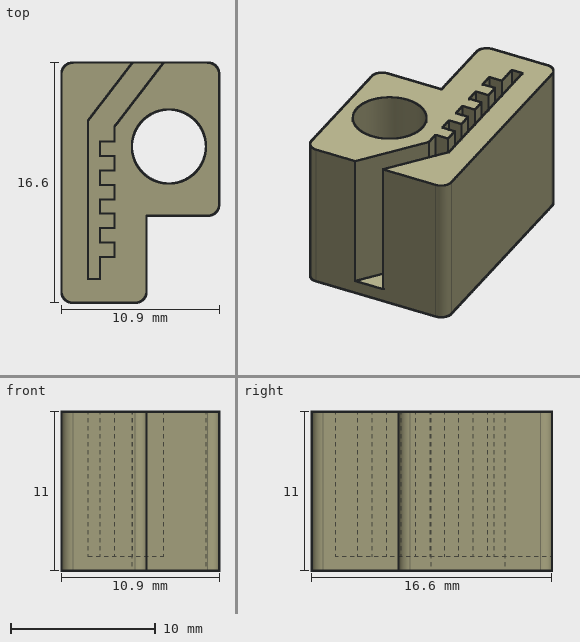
import cadquery as cq
import math

overall_width = 10.91
overall_length = 16.6
height = 11.0
leg_width = 5.9
head_length = 10.59
corner_radius = 0.8

bore_diameter = 5.1
bore_x = 7.43
bore_from_head_end = 5.8

floor_thickness = 1.0
slot_left_x = 1.86
slot_end_y = 1.67
belt_thickness = 0.83
tooth_depth = 0.97
tooth_length = 1.0
tooth_pitch = 2 * tooth_length
space_count = 4
first_space_y = 3.16
entry_bend_y = 12.61
entry_angle = 37.5
entry_gap = 2.15
entry_overrun = 1.0

leg_end_y = overall_length - head_length
bore_y = overall_length - bore_from_head_end
slot_right_x = slot_left_x + belt_thickness
space_right_x = slot_right_x + tooth_depth
last_space_y = first_space_y + space_count * tooth_pitch


def make_block():
    """L-shaped prism with every outer vertical corner rounded; the inner corner stays sharp."""
    leg = cq.Workplane("XY").rect(leg_width, overall_length, centered=False).extrude(height)
    head = (
        cq.Workplane("XY")
        .workplane(origin=(0, leg_end_y, 0))
        .rect(overall_width, head_length, centered=False)
        .extrude(height)
    )
    block = leg.union(head)
    inner_corner = cq.selectors.NearestToPointSelector((leg_width, leg_end_y, height / 2))
    outer_corners = cq.selectors.SubtractSelector(cq.StringSyntaxSelector("|Z"), inner_corner)
    return block.edges(outer_corners).fillet(corner_radius)


def make_bore():
    """Round hole through the full height of the head."""
    return cq.Workplane("XY").center(bore_x, bore_y).circle(bore_diameter / 2).extrude(height)


def make_slot():
    """Belt channel with square tooth spaces on its right side and a slanted entry."""
    entry_slope = math.tan(math.radians(entry_angle))
    exit_y = overall_length + entry_overrun
    exit_left_x = slot_left_x + (exit_y - entry_bend_y) * entry_slope
    exit_right_x = exit_left_x + entry_gap
    right_bend_y = exit_y - (exit_right_x - space_right_x) / entry_slope

    outline = [
        (slot_left_x, slot_end_y),
        (slot_left_x, entry_bend_y),
        (exit_left_x, exit_y),
        (exit_right_x, exit_y),
        (space_right_x, right_bend_y),
        (space_right_x, last_space_y),
        (slot_right_x, last_space_y),
        (slot_right_x, slot_end_y),
    ]
    slot_depth = height - floor_thickness
    floor = cq.Workplane("XY").workplane(offset=floor_thickness)
    slot = floor.polyline(outline).close().extrude(slot_depth)

    for index in range(space_count):
        space_y = first_space_y + index * tooth_pitch
        tooth_space = (
            floor.center(slot_left_x, space_y)
            .rect(belt_thickness + tooth_depth, tooth_length, centered=False)
            .extrude(slot_depth)
        )
        slot = slot.union(tooth_space)
    return slot


result = make_block().cut(make_bore()).cut(make_slot())